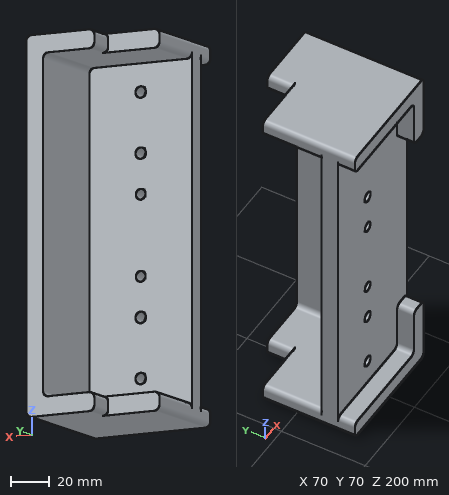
import cadquery as cq

width = 70.0
depth = 70.0
height = 200.0
wall = 10.0
edge_radius = 3.0

lip_depth = 10.0
lip_length = 40.0

notch_width = 30.0
notch_depth = 15.0

hole_x = 30.0
large_hole_diameter = 6.0
small_hole_diameter = 5.5
large_hole_offsets = (75.0, 43.0)
small_hole_offset = 43.0 / 2

plate_back = lip_depth + wall
notch_start = depth - notch_depth


def box(x_size, y_size, z_size, x=0.0, y=0.0, z=0.0):
    """Box with its lowest corner at (x, y, z)."""
    return cq.Workplane("XY").box(x_size, y_size, z_size, centered=False).translate((x, y, z))


def channel(left, front, back):
    """Rounded C-shaped channel opening toward -X, running along Y."""
    outer = box(width - left, back - front, height, left, front)
    inner = box(width - left - wall, back - front, height - 2 * wall, left, front, wall)
    return outer.cut(inner).edges("|Y").fillet(edge_radius)


def front_lip():
    """Channel with the middle of its wall removed, leaving two rounded arms."""
    gap = box(wall, lip_depth, height - 2 * lip_length, width - wall, 0, lip_length)
    outer = box(width, lip_depth, height)
    inner = box(width - wall, lip_depth, height - 2 * wall, 0, 0, wall)
    return outer.cut(inner).cut(gap).edges("|Y").fillet(edge_radius)


def plate():
    """Upright plate joining the front lips to the rear channel."""
    return box(width, wall, height, 0, lip_depth).edges("|Y").fillet(edge_radius)


def drill(body, diameter, offset):
    """Pair of holes through the plate at equal distances from mid height."""
    for z in (height / 2 - offset, height / 2 + offset):
        hole = cq.Workplane("XZ", origin=(hole_x, lip_depth, z)).circle(diameter / 2).extrude(-wall)
        body = body.cut(hole)
    return body


wide_channel = channel(0, plate_back, notch_start)
narrow_channel = channel(notch_width, notch_start, depth)
result = plate().union(front_lip()).union(wide_channel).union(narrow_channel)

for large_offset in large_hole_offsets:
    result = drill(result, large_hole_diameter, large_offset)
result = drill(result, small_hole_diameter, small_hole_offset)